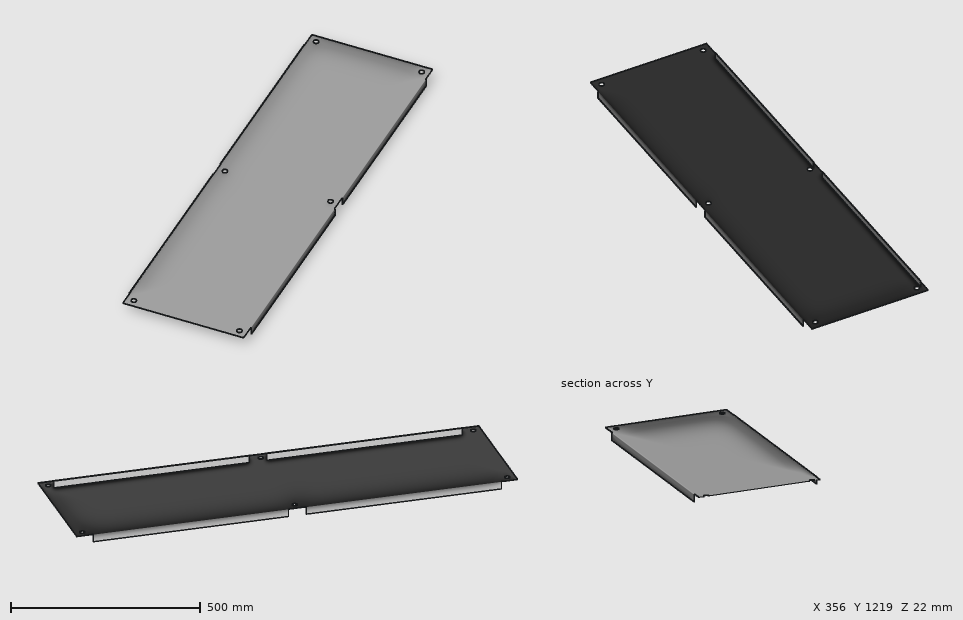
import cadquery as cq

overall_width = 356.0
length = 1219.0
height = 22.0

thickness = 2.2
bend_inner_radius = 0.7
bend_outer_radius = bend_inner_radius + thickness

panel_width = overall_width - 2 * bend_outer_radius
flange_end_setback = 45.0
flange_gap = 49.0
flange_length = (length - flange_gap) / 2 - flange_end_setback
flange_center_y = (flange_gap + flange_length) / 2

hole_diameter = 15.0
hole_spacing_x = 306.0
hole_spacing_y = 588.0


def make_panel():
    """Flat sheet with its top face at Z = 0."""
    return cq.Workplane("XY").box(
        panel_width, length, thickness, centered=(True, True, False)
    ).translate((0, 0, -thickness))


def make_flange(center_y):
    """Right-hand flange: a quarter-round bend followed by a straight leg."""
    bend_x = panel_width / 2
    outer_x = bend_x + bend_outer_radius
    inner_x = bend_x + bend_inner_radius
    return (
        cq.Workplane("XZ", origin=(0, center_y, 0))
        .moveTo(bend_x, 0)
        .radiusArc((outer_x, -bend_outer_radius), bend_outer_radius)
        .lineTo(outer_x, -height)
        .lineTo(inner_x, -height)
        .lineTo(inner_x, -bend_outer_radius)
        .radiusArc((bend_x, -thickness), -bend_inner_radius)
        .close()
        .extrude(flange_length / 2, both=True)
    )


def make_holes():
    """Cutters for two columns of three round through holes."""
    return (
        cq.Workplane("XY", origin=(0, 0, -thickness))
        .rarray(hole_spacing_x, hole_spacing_y, 2, 3)
        .circle(hole_diameter / 2)
        .extrude(thickness)
    )


result = make_panel()
for center_y in (-flange_center_y, flange_center_y):
    flange = make_flange(center_y)
    result = result.union(flange).union(flange.mirror("YZ"))
result = result.cut(make_holes())